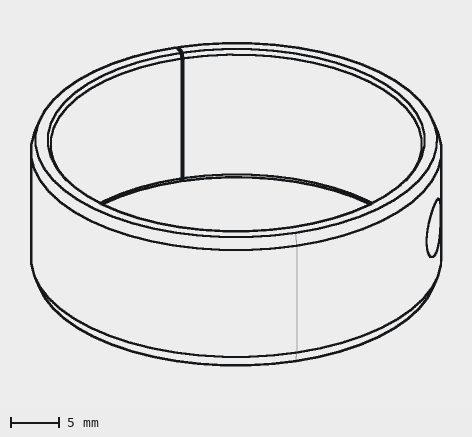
import cadquery as cq

outer_radius = 21.0
bore_radius = 19.0
height = 15.0
outer_chamfer_height = 1.25
outer_chamfer_depth = 0.45
bore_chamfer_height = 0.5
bore_chamfer_depth = 0.3
split_width = 0.2
hole_diameter = 6.0
hole_angle = 59.0

half_height = height / 2


def ring_body():
    """Revolve the wall section, chamfered at all four rims."""
    outer_rim_radius = outer_radius - outer_chamfer_depth
    bore_rim_radius = bore_radius + bore_chamfer_depth
    outer_edge_z = half_height - outer_chamfer_height
    bore_edge_z = half_height - bore_chamfer_height
    section = [
        (bore_radius, -bore_edge_z),
        (bore_rim_radius, -half_height),
        (outer_rim_radius, -half_height),
        (outer_radius, -outer_edge_z),
        (outer_radius, outer_edge_z),
        (outer_rim_radius, half_height),
        (bore_rim_radius, half_height),
        (bore_radius, bore_edge_z),
    ]
    return cq.Workplane("XZ").polyline(section).close().revolve(360, (0, 0, 0), (0, 1, 0))


def split_cutter():
    """Full-height slit through the -X wall, with its lower Y face on the XZ plane."""
    slit = cq.Workplane("XY").box(outer_radius, split_width, height)
    return slit.translate((-outer_radius, split_width / 2, 0))


def hole_cutter():
    """Radial hole at mid-height, through one wall only."""
    along_x = cq.Workplane("YZ").circle(hole_diameter / 2).extrude(outer_radius)
    return along_x.rotate((0, 0, 0), (0, 0, 1), hole_angle)


result = ring_body().cut(split_cutter()).cut(hole_cutter())